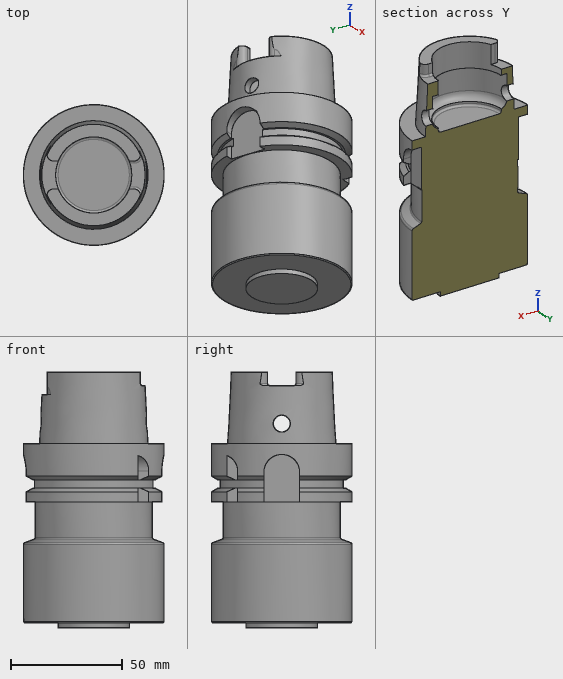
import cadquery as cq
import math

total_length = 114.3
flange_diameter = 63.0
flange_thickness = 26.0
taper_length = 32.0

top_z = total_length
flange_top_z = top_z - taper_length
flange_bottom_z = flange_top_z - flange_thickness

taper_base_diameter = 48.6
taper_rate = 0.1
taper_top_diameter = taper_base_diameter - taper_length * taper_rate

bore_diameter = 34.05
bore_mouth_depth = 13.2
undercut_diameter = 40.08
undercut_round_depth = 26.0
undercut_round_radius = 4.0
bore_floor_depth = taper_length
bore_floor_fillet = 1.1

cross_hole_diameter = 7.5
cross_hole_z = flange_top_z + 9.0

groove_diameter = 55.3
groove_center_z = flange_top_z - 18.0
groove_mouth_width = 7.0
groove_floor_width = 3.75
groove_side_angle = 30.0

neck_diameter = 52.5
nut_diameter = 62.94
nut_bottom_z = 2.2
nut_bottom_chamfer = 0.5
shoulder_top_z = 39.8
shoulder_angle = 20.0
shoulder_inner_fillet = 0.8
shoulder_outer_fillet = 1.1
tip_diameter = 31.99

notch_width = 12.54
notch_reach = 20.86
notch_corner_radius = 2.85
notch_flare_angle = 27.0
deep_notch_depth = 10.0
shallow_notch_depth = 6.0
shallow_notch_fillet = 1.0

keyway_floor_distance = 26.5
keyway_top_z = flange_top_z - 4.8
left_keyway_width = 18.0
right_keyway_width = 16.0

corner_notch_offset = 19.7
corner_notch_radius = 7.5


def revolved(outline):
    """Close an XZ outline and turn it about the Z axis."""
    return outline.close().revolve(360, (0, 0), (0, 1))


def turned_body():
    """Revolve the outer profile of nut, neck, flange and taper."""
    flange_r = flange_diameter / 2
    mouth_half = groove_mouth_width / 2
    floor_half = groove_floor_width / 2
    lip_r = flange_r - (mouth_half - floor_half) / math.tan(math.radians(groove_side_angle))
    nut_r = nut_diameter / 2
    neck_r = neck_diameter / 2
    shoulder_bottom_z = shoulder_top_z - (nut_r - neck_r) * math.tan(math.radians(shoulder_angle))
    outline = [
        (0, 0),
        (tip_diameter / 2, 0),
        (tip_diameter / 2, nut_bottom_z),
        (nut_r - nut_bottom_chamfer, nut_bottom_z),
        (nut_r, nut_bottom_z + nut_bottom_chamfer),
        (nut_r, shoulder_bottom_z),
        (neck_r, shoulder_top_z),
        (neck_r, flange_bottom_z),
        (flange_r, flange_bottom_z),
        (flange_r, groove_center_z - mouth_half),
        (lip_r, groove_center_z - floor_half),
        (groove_diameter / 2, groove_center_z - floor_half),
        (groove_diameter / 2, groove_center_z + floor_half),
        (lip_r, groove_center_z + floor_half),
        (flange_r, groove_center_z + mouth_half),
        (flange_r, flange_top_z),
        (taper_base_diameter / 2, flange_top_z),
        (taper_top_diameter / 2, top_z),
        (0, top_z),
    ]
    body = revolved(cq.Workplane("XZ").polyline(outline))
    shoulder_corners = [
        (shoulder_bottom_z, shoulder_outer_fillet),
        (shoulder_top_z, shoulder_inner_fillet),
    ]
    for corner_z, radius in shoulder_corners:
        corner = cq.selectors.NearestToPointSelector((0, 0, corner_z))
        body = body.edges(corner).fillet(radius)
    return body


def clamping_bore():
    """Straight bore with a rounded floor edge, joined with the wider undercut."""
    floor_z = top_z - bore_floor_depth
    bore = cq.Workplane("XY", origin=(0, 0, floor_z)).circle(bore_diameter / 2).extrude(bore_floor_depth)
    bore = bore.faces("<Z").edges().fillet(bore_floor_fillet)

    undercut_r = undercut_diameter / 2
    undercut_top_z = top_z - bore_mouth_depth
    undercut_bottom_z = top_z - undercut_round_depth - undercut_round_radius
    undercut = cq.Workplane("XY", origin=(0, 0, undercut_bottom_z)).circle(undercut_r)
    undercut = undercut.extrude(undercut_top_z - undercut_bottom_z)
    undercut = undercut.faces("<Z").edges().fillet(undercut_round_radius)
    return bore.union(undercut)


def cross_hole():
    hole = cq.Workplane("YZ").center(0, cross_hole_z).circle(cross_hole_diameter / 2)
    return hole.extrude(taper_base_diameter, both=True)


def drive_notch(depth):
    """Notch cutter opening toward +X, its outer corners rounded and flared."""
    half = notch_width / 2
    r = notch_corner_radius
    center_x = notch_reach - r
    center_y = half + r
    outer_y = taper_base_diameter

    def arc_point(angle):
        a = math.radians(angle)
        return center_x + r * math.cos(a), center_y + r * math.sin(a)

    arc_end = arc_point(notch_flare_angle)
    arc_mid = arc_point((notch_flare_angle - 90) / 2)
    flare_end_x = arc_end[0] - (outer_y - arc_end[1]) * math.tan(math.radians(notch_flare_angle))
    far_x = taper_base_diameter

    def mirrored(point):
        return point[0], -point[1]

    return (
        cq.Workplane("XY", origin=(0, 0, top_z - depth))
        .moveTo(0, half)
        .lineTo(center_x, half)
        .threePointArc(arc_mid, arc_end)
        .lineTo(flare_end_x, outer_y)
        .lineTo(far_x, outer_y)
        .lineTo(far_x, -outer_y)
        .lineTo(flare_end_x, -outer_y)
        .lineTo(*mirrored(arc_end))
        .threePointArc(mirrored(arc_mid), (center_x, -half))
        .lineTo(0, -half)
        .close()
        .extrude(depth)
    )


def round_topped_slot(width, floor_x):
    """Slot cutter from floor_x outward along +X, open at the flange bottom."""
    r = width / 2
    spring_z = keyway_top_z - r
    return (
        cq.Workplane("YZ", origin=(floor_x, 0, 0))
        .moveTo(-r, flange_bottom_z)
        .lineTo(-r, spring_z)
        .threePointArc((0, keyway_top_z), (r, spring_z))
        .lineTo(r, flange_bottom_z)
        .close()
        .extrude(flange_diameter / 2)
    )


def corner_notch():
    """Cutter for the step between +X and -Y, its inner corner on the diagonal."""
    slot = round_topped_slot(2 * corner_notch_radius, corner_notch_offset)
    return slot.translate((0, -corner_notch_offset - corner_notch_radius, 0))


def half_turn(cutter):
    return cutter.rotate((0, 0, 0), (0, 0, 1), 180)


deep_notch = half_turn(drive_notch(deep_notch_depth))
shallow_notch = drive_notch(shallow_notch_depth).faces("<Z").edges().fillet(shallow_notch_fillet)
left_keyway = half_turn(round_topped_slot(left_keyway_width, keyway_floor_distance))
right_keyway = round_topped_slot(right_keyway_width, keyway_floor_distance)

result = (
    turned_body()
    .cut(clamping_bore())
    .cut(cross_hole())
    .cut(deep_notch)
    .cut(shallow_notch)
    .cut(left_keyway)
    .cut(right_keyway)
    .cut(corner_notch())
)